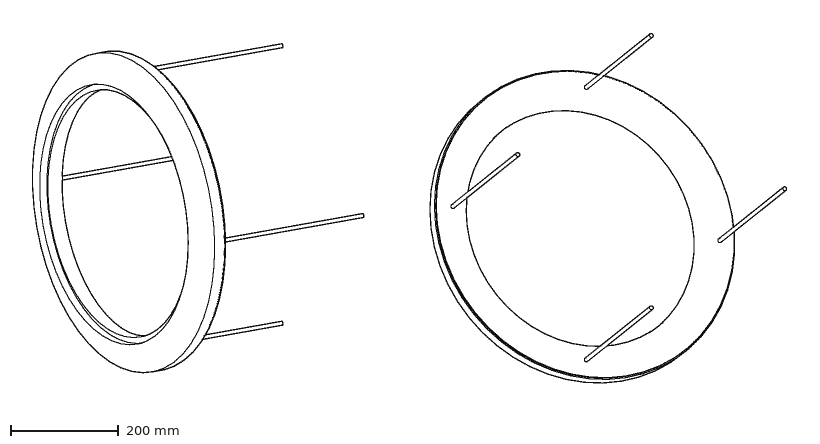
import cadquery as cq
import math

outer_radius = 301.0
lip_radius = 245.0
lip_depth = 16.0
rim_front = 21.5
rim_back = 44.5
face_mid_radius = 272.0
face_mid_depth = 14.0

back_radius = 298.5
back_edge_depth = 48.0
back_depth = 53.0
crown_radius = 262.0
throat_radius = 233.0
nose_depth = 10.0
throat_depth = 32.5
inner_shoulder = (240.5, 47.5)
outer_shoulder = (284.5, 51.0)

overall_depth = 378.0
rod_circle_radius = 267.0
rod_diameter = 8.0
rod_count = 4

lip_back = (lip_radius, lip_depth)
joint_edge = (back_radius, rim_back)
crown = (crown_radius, back_depth)
throat_end = (throat_radius, throat_depth)


def revolve_about_y(profile):
    return profile.close().revolve(360, (0, 0, 0), (0, 1, 0))


def make_front_ring():
    """Ring with a concave front face, seated on a conical joint."""
    profile = (
        cq.Workplane("XY")
        .moveTo(*lip_back)
        .lineTo(lip_radius, 0)
        .threePointArc((face_mid_radius, face_mid_depth), (outer_radius, rim_front))
        .lineTo(outer_radius, rim_back)
        .lineTo(*joint_edge)
    )
    return revolve_about_y(profile)


def make_back_ring():
    """Ring with a domed back and an inner nose that stands proud of the lip."""
    profile = (
        cq.Workplane("XY")
        .moveTo(*joint_edge)
        .lineTo(back_radius, back_edge_depth)
        .threePointArc(outer_shoulder, crown)
        .threePointArc(inner_shoulder, throat_end)
        .lineTo(throat_radius, nose_depth)
        .lineTo(*lip_back)
    )
    return revolve_about_y(profile)


def make_rod(angle, seat):
    """Round rod at the given angle, its foot trimmed to the back ring."""
    x = rod_circle_radius * math.cos(angle)
    z = rod_circle_radius * math.sin(angle)
    foot = cq.Vector(x, rim_back, z)
    rod = cq.Solid.makeCylinder(
        rod_diameter / 2, overall_depth - rim_back, foot, cq.Vector(0, 1, 0)
    )
    return cq.Workplane(rod).cut(seat).solids(">Y")


front_ring = make_front_ring()
back_ring = make_back_ring()
rods = []
for index in range(rod_count):
    rod_angle = index * 2 * math.pi / rod_count
    rods.append(make_rod(rod_angle, back_ring).val())

result = cq.Compound.makeCompound([front_ring.val(), back_ring.val(), *rods])